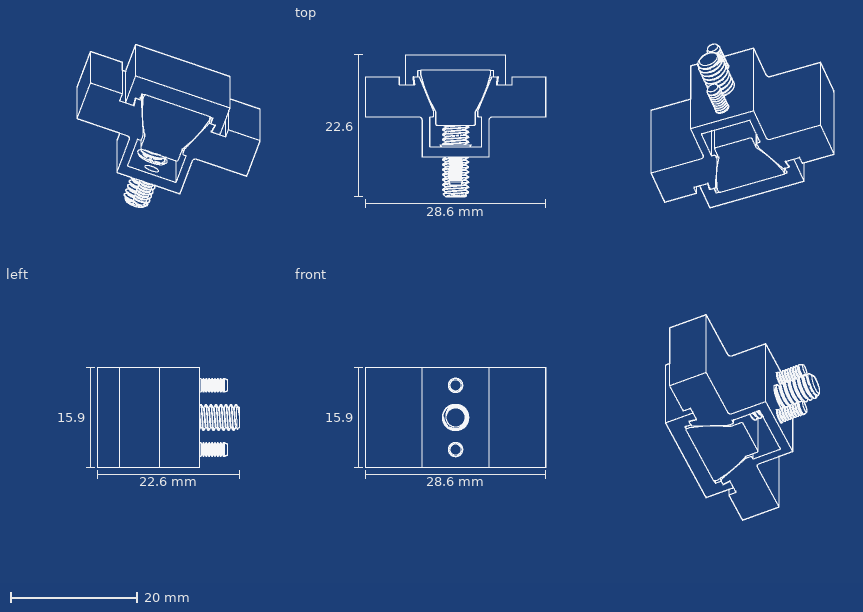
import cadquery as cq
import math


height = 15.88
rise = height / 2
edge_reach = 0.015
overlap = 0.29

wing_half = 14.28
wing_front = 6.35
wing_back = 2 * wing_front
notch_half = 8.9
notch_floor = 11.43
hook_half_top = 6.65
hook_half_root = 6.49
jaw_half_back = 5.7
jaw_half_front = 3.49
jaw_end = 7.3
lip_fillet = 0.2
box_half = 5.3
box_wall = 1.23
cavity_half = box_half - box_wall
front_wall = 1.6
box_fillet = 0.5

cap_half = 7.95
cap_back = 16.2
cap_ceiling = 13.69
cap_recess_half = 5.97
hook_gap = 0.09

wedge_half_back = 5.55
wedge_half_front = 3.15
wedge_front = 5.0
wedge_back = 13.77
flank_back = 13.09
flank_front = 7.15
flank_bulge = 0.25
wedge_back_fillet = 0.17
wedge_front_fillet = 0.25

main_radius = 2.09
main_ten_turns = 7.95
main_pitch = main_ten_turns / 10
main_tip = 6.35
main_chamfer = 0.57
main_crest = -0.2
collar_radius = 2.49
collar_seat_radius = 2.23
collar_height = 0.35

small_radius = 1.09
small_ten_grooves = 4.55
small_pitch = small_ten_grooves / 10
small_tip = 4.43
small_shank_radius = 1.15
small_taper_depth = 0.2
small_taper_length = 0.5
small_grooves = 8
small_first_groove = 0.37
small_offset = 5.09

thread_depth = 0.61
crest_flat = 1 / 8
root_flat = 1 / 6
spiral_steps = 8
tip_clearance = 0.015


def symmetric_prism(right_half):
    """Full-height solid whose outline is the given +X half, front to back, and its mirror image."""
    left_half = [(-x, y) for x, y in reversed(right_half)]
    return cq.Workplane("XY").workplane(offset=-rise).polyline(right_half + left_half).close().extrude(height)


def round_edges(body, half_width, y, radius):
    """Fillet the pair of full-height edges at +-half_width and y."""
    for x in (-half_width, half_width):
        corner_box = cq.selectors.BoxSelector(
            (x - edge_reach, y - edge_reach, -rise),
            (x + edge_reach, y + edge_reach, rise))
        body = body.edges(corner_box).fillet(radius)
    return body


def cylinder_y(radius, front, back, z=0.0):
    """Cylinder along Y from front to back, on the X = 0 plane at height z."""
    return cq.Workplane("XZ", origin=(0, front, z)).circle(radius).extrude(front - back)


def make_housing():
    body = symmetric_prism([
        (box_half, 0),
        (box_half, wing_front),
        (wing_half, wing_front),
        (wing_half, wing_back),
        (notch_half, wing_back),
        (notch_half, notch_floor),
        (hook_half_root, notch_floor),
        (hook_half_top, wing_back),
        (jaw_half_back, wing_back),
        (jaw_half_front, jaw_end),
        (jaw_half_front, wing_front),
        (cavity_half, wing_front),
        (cavity_half, front_wall),
    ])
    body = round_edges(body, box_half, wing_front, box_fillet)
    body = round_edges(body, jaw_half_front, wing_front, lip_fillet)
    body = body.cut(cylinder_y(main_radius, 0, front_wall))
    for z in (-small_offset, small_offset):
        body = body.cut(cylinder_y(small_shank_radius, 0, front_wall, z))
    return body


def make_cap(wedge):
    body = symmetric_prism([
        (cap_recess_half, cap_ceiling),
        (cap_recess_half, wing_back),
        (hook_half_top + hook_gap, wing_back),
        (hook_half_root + hook_gap, notch_floor),
        (cap_half, notch_floor),
        (cap_half, cap_back),
    ])
    return body.cut(wedge)


def make_wedge():
    taper = wedge_half_back - wedge_half_front
    run = flank_back - flank_front
    chord = math.hypot(taper, run)
    bulge_x = (wedge_half_back + wedge_half_front) / 2 + flank_bulge * run / chord
    bulge_y = (flank_back + flank_front) / 2 - flank_bulge * taper / chord
    body = (
        cq.Workplane("XY").workplane(offset=-rise)
        .moveTo(-wedge_half_front, wedge_front)
        .lineTo(wedge_half_front, wedge_front)
        .lineTo(wedge_half_front, flank_front)
        .threePointArc((bulge_x, bulge_y), (wedge_half_back, flank_back))
        .lineTo(wedge_half_back, wedge_back)
        .lineTo(-wedge_half_back, wedge_back)
        .lineTo(-wedge_half_back, flank_back)
        .threePointArc((-bulge_x, bulge_y), (-wedge_half_front, flank_front))
        .close()
        .extrude(height)
    )
    body = round_edges(body, wedge_half_back, wedge_back, wedge_back_fillet)
    return round_edges(body, wedge_half_front, wedge_front, wedge_front_fillet)


def polar(radius, angle):
    return (radius * math.cos(angle), radius * math.sin(angle))


def spiral(start_radius, start_angle, end_radius, end_angle):
    """Points after the start of an Archimedean spiral, the cross-section of a thread flank."""
    points = []
    for step in range(1, spiral_steps + 1):
        share = step / spiral_steps
        points.append(polar(
            start_radius + share * (end_radius - start_radius),
            start_angle + share * (end_angle - start_angle)))
    return points


def threaded_rod(radius, pitch, front, back, crest):
    """Right-handed threaded rod along Y from front to back.

    Every cross-section is the same outline (crest arc, flank, root arc, flank), turned once per pitch.
    crest is the Y of a thread crest on the +Z side.
    """
    root_radius = radius - thread_depth * pitch
    crest_angle = math.pi * crest_flat
    root_angle = math.pi * (1 - root_flat)
    length = back - front
    rod = (
        cq.Workplane("XY")
        .moveTo(*polar(radius, -crest_angle))
        .threePointArc((radius, 0), polar(radius, crest_angle))
        .spline(spiral(radius, crest_angle, root_radius, root_angle), includeCurrent=True)
        .threePointArc((-root_radius, 0), polar(root_radius, -root_angle))
        .spline(spiral(root_radius, -root_angle, radius, -crest_angle), includeCurrent=True)
        .close()
        .twistExtrude(length, 360 * length / pitch)
    )
    rod = rod.rotate((0, 0, 0), (1, 1, 1), -120)
    rod = rod.rotate((0, 0, 0), (0, 1, 0), 360 * (front - crest) / pitch)
    return rod.translate((0, front, 0))


def make_main_tip():
    """Threaded end of the main screw, which projects in front of the wall and is chamfered at its tip."""
    rod = threaded_rod(main_radius, main_pitch, -main_tip, 0, main_crest)
    envelope = cylinder_y(main_radius + tip_clearance, -main_tip, overlap)
    envelope = envelope.faces("<Y").chamfer(main_chamfer + tip_clearance)
    return rod.intersect(envelope)


def make_main_screw():
    collar_back = front_wall + collar_height
    tip = make_main_tip()
    inner = threaded_rod(main_radius, main_pitch, collar_back, wedge_front, main_crest)
    shank_and_collar = (
        cq.Workplane("XY")
        .polyline([
            (0, 0),
            (main_radius, 0),
            (main_radius, front_wall),
            (collar_seat_radius, front_wall),
            (collar_radius, collar_back),
            (0, collar_back),
        ])
        .close()
        .revolve(360, (0, 0, 0), (0, 1, 0))
    )
    return shank_and_collar.union(tip, clean=False).union(inner, clean=False)


def make_small_screw():
    """Plain shank in the wall and a chamfered end with evenly spaced ring grooves."""
    body = (
        cq.Workplane("XY")
        .polyline([
            (0, -small_tip),
            (small_radius - small_taper_depth, -small_tip),
            (small_radius, small_taper_length - small_tip),
            (small_radius, 0),
            (small_shank_radius, 0),
            (small_shank_radius, front_wall),
            (0, front_wall),
        ])
        .close()
        .revolve(360, (0, 0, 0), (0, 1, 0))
    )
    root_radius = small_radius - thread_depth * small_pitch
    root_half = root_flat * small_pitch / 2
    mouth_half = (1 - crest_flat) * small_pitch / 2
    for number in range(small_grooves):
        middle = -small_first_groove - number * small_pitch
        groove = (
            cq.Workplane("XY")
            .polyline([
                (root_radius, middle - root_half),
                (small_radius, middle - mouth_half),
                (small_radius + overlap, middle - mouth_half),
                (small_radius + overlap, middle + mouth_half),
                (small_radius, middle + mouth_half),
                (root_radius, middle + root_half),
            ])
            .close()
            .revolve(360, (0, 0, 0), (0, 1, 0))
        )
        body = body.cut(groove)
    return body


housing = make_housing()
wedge = make_wedge()
cap = make_cap(wedge)
main_screw = make_main_screw()
small_screw = make_small_screw()
small_screws = [small_screw.translate((0, 0, z)) for z in (-small_offset, small_offset)]

result = cq.Compound.makeCompound([
    *housing.solids().vals(),
    *cap.solids().vals(),
    *wedge.solids().vals(),
    *main_screw.solids().vals(),
    *[screw.solids().val() for screw in small_screws],
])